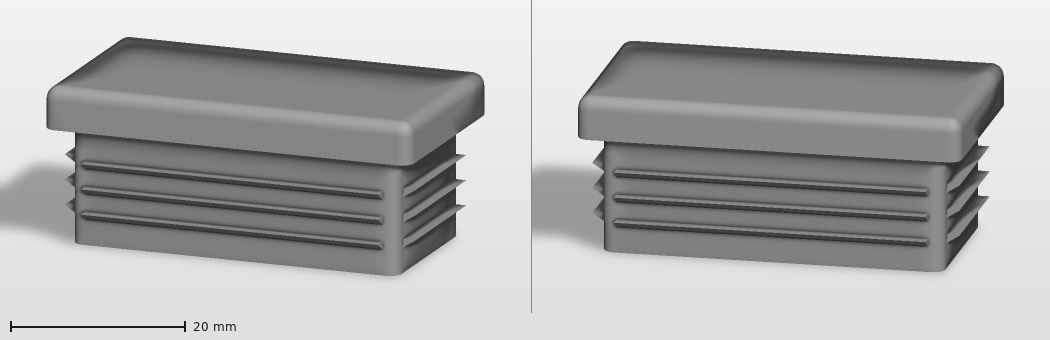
import cadquery as cq

cap_length = 45.0
cap_width = 25.0
cap_height = 5.0
edge_radius = 1.5

plug_length = 40.0
plug_width = 20.0
plug_height = 14.0

fin_reach = 1.55
fin_thickness = 1.0
fin_count = 3
first_fin_drop = 4.0
last_fin_drop = 10.0
fin_pitch = (last_fin_drop - first_fin_drop) / (fin_count - 1)
long_fin_length = 36.55
short_fin_length = 16.25
fin_root = 0.22


def make_cap():
    """Rounded block with its underside at Z = plug_height."""
    block = cq.Workplane("XY").workplane(offset=plug_height).rect(cap_length, cap_width).extrude(cap_height)
    return block.edges("|Z").fillet(edge_radius).faces(">Z").edges().fillet(edge_radius)


def make_plug():
    """Solid stem standing on Z = 0 with rounded vertical corners."""
    return cq.Workplane("XY").rect(plug_length, plug_width).extrude(plug_height).edges("|Z").fillet(edge_radius)


def make_fin(length, face_distance, top_z):
    """Triangular fin pointing along +X from a plug face at X = face_distance."""
    root_x = face_distance - fin_root
    profile = [
        (root_x, top_z),
        (face_distance + fin_reach, top_z),
        (face_distance, top_z - fin_thickness),
        (root_x, top_z - fin_thickness),
    ]
    return cq.Workplane("XZ").polyline(profile).close().extrude(length / 2, both=True)


result = make_plug().union(make_cap())

for fin_index in range(fin_count):
    fin_top = plug_height - first_fin_drop - fin_index * fin_pitch
    end_fin = make_fin(short_fin_length, plug_length / 2, fin_top)
    side_fin = make_fin(long_fin_length, plug_width / 2, fin_top)
    for half_turn in (0, 180):
        result = result.union(end_fin.rotate((0, 0, 0), (0, 0, 1), half_turn))
        result = result.union(side_fin.rotate((0, 0, 0), (0, 0, 1), half_turn + 90))